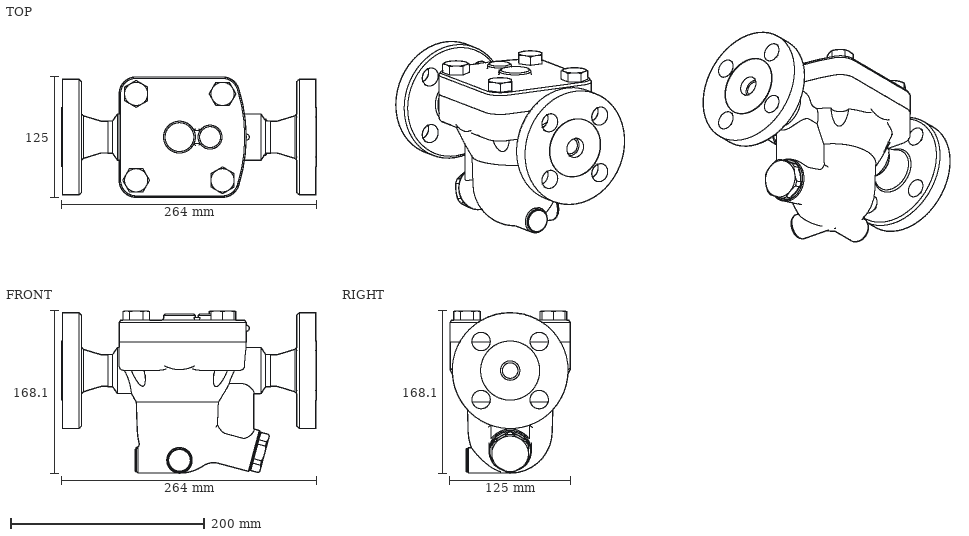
import cadquery as cq
import math

length = 264.0
half_length = length / 2
flange_diameter = 120.0
flange_back = 111.5
flange_chamfer = 2.6
raised_face_diameter = 61.2
raised_face_height = 0.8
neck_root_radius = 24.0
neck_cone_start = 109.5
neck_cone_radius = 22.2
neck_cone_end = 90.8
pipe_radius = 33.0 / 2
stub_radius = 17.0
stub_end = 84.2
hub_radius = 48.0 / 2
hub_end = 79.2
hub_chamfer_start = 74.5
flange_hole_diameter = 19.0
flange_hole_offset = 30.0
port_diameter = 20.0
port_depth = 9.2
bore_diameter = 16.0
bore_depth = 52.8

cover_left = -72.5
cover_right = 59.1
half_width = 125.0 / 2
corner_radius = 17.7
bolt_y = half_width - corner_radius
left_bolt_x = cover_left + corner_radius
right_bolt_x = 34.5
plate_bottom = 0.3
joint_z = 29.5
cover_top = 52.3
cover_edge_height = 2.6
cover_edge_inset = 1.5
plate_bottom_fillet = 4.5
plate_inset = 0.13

bolt_across_flats = 24.0
bolt_top = 61.8
bolt_chamfer = 0.8
bolt_clearance_diameter = 19.0
bolt_clearance_depth = 23.8
large_boss_diameter = 33.0
small_boss_diameter = 24.8
small_boss_x = 21.6
boss_top = 58.5
boss_chamfer = 1.5
boss_fillet = 2.6
web_width = 13.2
web_height = 2.77
stud_radius = 3.2
stud_z = 43.8

bowl_x = -10.0
bowl_radius = 43.8
bowl_top_radius = 45.0
dome_z = -62.5
bowl_top_z = -32.7
shoulder_z = -19.0
shoulder_radius = 52.5
collar_z = 5.3
collar_radius = 64.5

rib_end = 67.0
rib_width = 39.5
rib_corner_radius = 12.0
rib_bottom = -74.0

branch_angle = 15.0
branch_radius = 44.0 / 2
branch_end = 80.8
branch_chamfer = 1.0
branch_flare_radius = 18.2
cap_neck_radius = 38.0 / 2
cap_start = 81.8
cap_end = 91.3
cap_across_flats = 38.0
cap_turned_diameter = 41.2
cap_chamfer = 1.3

plug_z = -93.0
plug_radius = 13.2
plug_shoulder = 43.0
plug_shoulder_chamfer = 1.3
plug_end = 46.0
plug_neck_radius = 24.0 / 2
plug_end_chamfer = 0.8
plug_root_fillet = 3.5


def cylinder(origin, direction, radius, height):
    return cq.Workplane(cq.Solid.makeCylinder(radius, height, cq.Vector(*origin), cq.Vector(*direction)))


def hexagon_corner_diameter(across_flats):
    return across_flats / math.cos(math.pi / 6)


def chamfered_hexagon(across_flats, turned_diameter, height, chamfer, vertices_on_x):
    """Hexagon on Z = 0, turned down to a diameter and with its top corners chamfered to the flats."""
    turn = 0 if vertices_on_x else 30
    prism = cq.Workplane("XY").polygon(6, hexagon_corner_diameter(across_flats)).extrude(height)
    prism = prism.rotate((0, 0, 0), (0, 0, 1), turn)
    blank = cq.Workplane("XY").circle(turned_diameter / 2).extrude(height)
    blank = blank.faces(">Z").edges().chamfer(chamfer, (turned_diameter - across_flats) / 2)
    return prism.intersect(blank)


def flanged_pipe():
    """Flange, conical neck and hub of the outlet side, running along +X."""
    flange_radius = flange_diameter / 2
    flange_face = half_length - raised_face_height
    pipe = (
        cq.Workplane("XY")
        .moveTo(0, 0)
        .lineTo(0, hub_radius)
        .lineTo(hub_chamfer_start, hub_radius)
        .lineTo(hub_end, stub_radius)
        .lineTo(stub_end, stub_radius)
        .lineTo(stub_end, pipe_radius)
        .lineTo(neck_cone_end, pipe_radius)
        .lineTo(neck_cone_start, neck_cone_radius)
        .lineTo(flange_back, neck_root_radius)
        .lineTo(flange_back, flange_radius - flange_chamfer)
        .lineTo(flange_back + flange_chamfer, flange_radius)
        .lineTo(flange_face, flange_radius)
        .lineTo(flange_face, raised_face_diameter / 2)
        .lineTo(half_length, raised_face_diameter / 2)
        .lineTo(half_length, 0)
        .close()
        .revolve(360, (0, 0, 0), (1, 0, 0))
    )
    for y in (-flange_hole_offset, flange_hole_offset):
        for z in (-flange_hole_offset, flange_hole_offset):
            start = (flange_back, y, z)
            hole = cylinder(start, (1, 0, 0), flange_hole_diameter / 2, half_length - flange_back)
            pipe = pipe.cut(hole)
    return pipe


def port():
    """Stepped blind bore entering the outlet face."""
    face = (half_length, 0, 0)
    entry = cylinder(face, (-1, 0, 0), port_diameter / 2, port_depth)
    bore = cylinder(face, (-1, 0, 0), bore_diameter / 2, bore_depth)
    return entry.union(bore)


def plate_outline(z, inset=0.0):
    """Rounded rectangle whose right side bulges as one large arc tangent to its corners."""
    left = cover_left + inset
    right = cover_right - inset
    width = half_width - inset
    corner = corner_radius - inset
    reach = right - right_bolt_x
    bulge_radius = (reach**2 + bolt_y**2 - corner**2) / (2 * (reach - corner))
    bulge_centre_x = right - bulge_radius
    bulge_angle = math.atan2(bolt_y, right_bolt_x - bulge_centre_x)
    tangent_x = bulge_centre_x + bulge_radius * math.cos(bulge_angle)
    tangent_y = bulge_radius * math.sin(bulge_angle)
    middle_angle = (bulge_angle + math.pi / 2) / 2
    corner_x = right_bolt_x + corner * math.cos(middle_angle)
    corner_y = bolt_y + corner * math.sin(middle_angle)
    diagonal = corner * math.sqrt(0.5)
    return (
        cq.Workplane("XY", origin=(0, 0, z))
        .moveTo(left_bolt_x, -width)
        .lineTo(right_bolt_x, -width)
        .threePointArc((corner_x, -corner_y), (tangent_x, -tangent_y))
        .threePointArc((right, 0), (tangent_x, tangent_y))
        .threePointArc((corner_x, corner_y), (right_bolt_x, width))
        .lineTo(left_bolt_x, width)
        .threePointArc((left_bolt_x - diagonal, bolt_y + diagonal), (left, bolt_y))
        .lineTo(left, -bolt_y)
        .threePointArc((left_bolt_x - diagonal, -bolt_y - diagonal), (left_bolt_x, -width))
        .close()
    )


def cover_and_plate():
    plate = plate_outline(plate_bottom, plate_inset).extrude(joint_z - plate_bottom)
    plate = plate.faces("<Z").edges().fillet(plate_bottom_fillet)
    edge_z = cover_top - cover_edge_height
    cover = plate_outline(joint_z).extrude(edge_z - joint_z)
    edge_taper = math.degrees(math.atan2(cover_edge_inset, cover_edge_height))
    rim = plate_outline(edge_z).extrude(cover_edge_height, taper=edge_taper)
    stud = cq.Workplane("XY").sphere(stud_radius).translate((cover_right, 0, stud_z))
    return plate.union(cover).union(rim).union(stud)


def cover_bosses():
    """Two round bosses joined by a low web, with a fillet around their foot."""
    height = boss_top - cover_top
    large = cq.Workplane("XY").circle(large_boss_diameter / 2).extrude(height)
    large = large.faces(">Z").chamfer(boss_chamfer).translate((bowl_x, 0, cover_top))
    small = cq.Workplane("XY").circle(small_boss_diameter / 2).extrude(height)
    small = small.faces(">Z").chamfer(boss_chamfer).translate((small_boss_x, 0, cover_top))
    web_length = small_boss_x - bowl_x
    web = cq.Workplane("XY").box(web_length, web_width, web_height, centered=(False, True, False))
    return large.union(small).union(web.translate((bowl_x, 0, cover_top)))


def bolt_heads():
    heads = cq.Workplane("XY")
    height = bolt_top - cover_top
    corner_diameter = hexagon_corner_diameter(bolt_across_flats)
    for x in (left_bolt_x, right_bolt_x):
        for y in (-bolt_y, bolt_y):
            vertices_on_x = (x == left_bolt_x) == (y < 0)
            head = chamfered_hexagon(
                bolt_across_flats, corner_diameter, height, bolt_chamfer, vertices_on_x
            )
            heads = heads.union(head.translate((x, y, cover_top)))
    return heads


def bowl():
    """Round bowl: flaring collar, slightly tapered wall and hemispherical bottom.

    The collar is trimmed to the outline of the plate above it.
    """
    dome_diagonal = bowl_radius * math.sqrt(0.5)
    dome_bottom = dome_z - bowl_radius
    revolved = (
        cq.Workplane("XZ")
        .moveTo(0, collar_z)
        .lineTo(collar_radius, collar_z)
        .lineTo(shoulder_radius, shoulder_z)
        .lineTo(bowl_top_radius, bowl_top_z)
        .lineTo(bowl_radius, dome_z)
        .threePointArc((dome_diagonal, dome_z - dome_diagonal), (0, dome_bottom))
        .close()
        .revolve(360, (0, 0, 0), (0, 1, 0))
        .translate((bowl_x, 0, 0))
    )
    envelope = plate_outline(dome_bottom, plate_inset).extrude(collar_z - dome_bottom)
    return revolved.intersect(envelope)


def bolt_clearances():
    """Round reliefs in the collar below each bolt."""
    reliefs = cq.Workplane("XY")
    for x in (left_bolt_x, right_bolt_x):
        for y in (-bolt_y, bolt_y):
            start = (x, y, plate_bottom)
            relief = cylinder(start, (0, 0, -1), bolt_clearance_diameter / 2, bolt_clearance_depth)
            reliefs = reliefs.union(relief)
    return reliefs


def rib():
    rib_length = rib_end - bowl_x
    block = cq.Workplane("XY").box(rib_length, rib_width, -rib_bottom, centered=(False, True, False))
    block = block.edges("|Z and >X").fillet(rib_corner_radius)
    return block.translate((bowl_x, 0, rib_bottom))


def strainer_branch():
    """Branch with a flared root and a hexagonal cap, built along +Z and then tilted."""
    flare_centre_x = branch_radius + branch_flare_radius
    flare_distance = bowl_radius + branch_flare_radius
    flare_top = math.sqrt(flare_distance**2 - flare_centre_x**2)
    root_x = flare_centre_x * bowl_radius / flare_distance
    root_z = flare_top * bowl_radius / flare_distance
    middle_angle = math.pi + math.atan2(flare_top, flare_centre_x) / 2
    middle_x = flare_centre_x + branch_flare_radius * math.cos(middle_angle)
    middle_z = flare_top + branch_flare_radius * math.sin(middle_angle)
    branch = (
        cq.Workplane("XZ")
        .moveTo(0, 0)
        .lineTo(root_x, root_z)
        .threePointArc((middle_x, middle_z), (branch_radius, flare_top))
        .lineTo(branch_radius, branch_end - branch_chamfer)
        .lineTo(branch_radius - branch_chamfer, branch_end)
        .lineTo(cap_neck_radius, branch_end)
        .lineTo(cap_neck_radius, cap_start)
        .lineTo(0, cap_start)
        .close()
        .revolve(360, (0, 0, 0), (0, 1, 0))
    )
    cap_height = cap_end - cap_start
    cap = chamfered_hexagon(cap_across_flats, cap_turned_diameter, cap_height, cap_chamfer, True)
    branch = branch.union(cap.translate((0, 0, cap_start)))
    branch = branch.rotate((0, 0, 0), (0, 1, 0), 90 + branch_angle)
    return branch.translate((bowl_x, 0, dome_z))


def filleted_plug_root(vessel):
    """Blend the root of the -X plug into the dome and stop the blend at the plug shoulder."""
    overlength = plug_shoulder + 4 * plug_root_fillet
    blended = vessel.union(cylinder((bowl_x, 0, plug_z), (-1, 0, 0), plug_radius, overlength))
    shoulder_x = bowl_x - plug_shoulder
    root_box = cq.selectors.BoxSelector(
        (shoulder_x, -plug_radius, plug_z - plug_radius),
        (bowl_x, plug_radius, plug_z + plug_radius),
    )
    root_edges = root_box - cq.selectors.TypeSelector("LINE")
    blended = blended.edges(root_edges).fillet(plug_root_fillet)
    trim_size = 4 * plug_radius
    trim = cq.Workplane("XY").box(trim_size, trim_size, trim_size)
    return blended.cut(trim.translate((shoulder_x - trim_size / 2, 0, plug_z - plug_radius)))


def drain_plug():
    """Stepped drain plug along -Y, starting on its own end at the origin."""
    return (
        cq.Workplane("XY")
        .moveTo(0, 0)
        .lineTo(plug_radius, 0)
        .lineTo(plug_radius, -plug_shoulder)
        .lineTo(plug_neck_radius, -plug_shoulder - plug_shoulder_chamfer)
        .lineTo(plug_neck_radius, plug_end_chamfer - plug_end)
        .lineTo(plug_neck_radius - plug_end_chamfer, -plug_end)
        .lineTo(0, -plug_end)
        .close()
        .revolve(360, (0, 0, 0), (0, 1, 0))
    )


outlet = flanged_pipe()
inlet = outlet.mirror("YZ")
vessel = filleted_plug_root(bowl())
for turn in (0, -90):
    plug = drain_plug().rotate((0, 0, 0), (0, 0, 1), turn).translate((bowl_x, 0, plug_z))
    vessel = vessel.union(plug)
vessel = vessel.cut(bolt_clearances())

top = cover_and_plate().union(cover_bosses())
foot_margin = 0.03
foot_edges = cq.selectors.BoxSelector(
    (bowl_x - large_boss_diameter, -large_boss_diameter, cover_top - foot_margin),
    (small_boss_x + small_boss_diameter, large_boss_diameter, cover_top + foot_margin),
)
top = top.edges(foot_edges).fillet(boss_fillet)

result = vessel.union(rib()).union(strainer_branch()).union(outlet).union(inlet)
result = result.union(top).union(bolt_heads()).cut(port()).cut(port().mirror("YZ"))